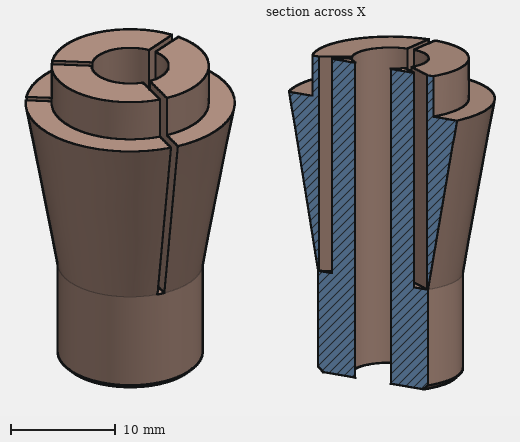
import cadquery as cq

total_height = 31.3
head_diameter = 20.0
collar_diameter = 15.02
shank_diameter = 13.9
bore_diameter = 7.35
collar_height = 4.0
shank_height = 10.02
foot_chamfer = 0.5
slot_width = 0.72
slot_count = 3

cone_top = total_height - collar_height


def make_body():
    """Revolved outline: chamfered shank, cone widening upwards, collar, through bore."""
    shank_radius = shank_diameter / 2
    bore_radius = bore_diameter / 2
    profile = (
        cq.Workplane("XZ")
        .moveTo(bore_radius, 0)
        .lineTo(shank_radius - foot_chamfer, 0)
        .lineTo(shank_radius, foot_chamfer)
        .lineTo(shank_radius, shank_height)
        .lineTo(head_diameter / 2, cone_top)
        .lineTo(collar_diameter / 2, cone_top)
        .lineTo(collar_diameter / 2, total_height)
        .lineTo(bore_radius, total_height)
        .close()
    )
    return profile.revolve(360, (0, 0, 0), (0, 1, 0))


def make_slot(angle):
    """Radial cutter from the axis outwards, from the top end down to the shank."""
    return (
        cq.Workplane("XY", origin=(0, 0, shank_height))
        .rect(head_diameter, slot_width)
        .extrude(total_height - shank_height)
        .translate((head_diameter / 2, 0, 0))
        .rotate((0, 0, 0), (0, 0, 1), angle)
    )


result = make_body()
for index in range(slot_count):
    result = result.cut(make_slot(index * 360 / slot_count))